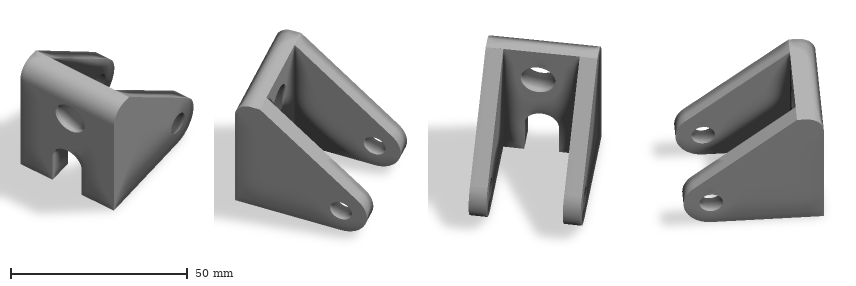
import cadquery as cq
import math

width = 32.0
height = 40.2
arm_thickness = 5.05
plate_thickness = 7.65
front_edge_radius = 5.03

arm_drop = 0.32
arm_radius = 7.9
pivot_diameter = 6.67
left_pivot_y = 31.95
right_pivot_y = 32.25

plate_hole_diameter = 9.97
plate_hole_x = 17.0
plate_hole_z = 28.87
slot_width = 9.95
slot_top = 15.2
slot_x = width / 2


def plate_section(x, bottom, top):
    """Plate cross-section at x, with a rounded upper front edge."""
    r = front_edge_radius
    diagonal = r * math.sqrt(0.5)
    return (
        cq.Workplane("YZ", origin=(x, 0, 0))
        .moveTo(0, bottom)
        .lineTo(plate_thickness, bottom)
        .lineTo(plate_thickness, top)
        .lineTo(r, top)
        .threePointArc((r - diagonal, top - r + diagonal), (0, top - r))
        .close()
        .wire()
        .val()
    )


def arm(x, bottom, top, pivot_y):
    """Side arm behind the plate, with a rounded end concentric with its pivot hole."""
    pivot_z = bottom + arm_radius
    rise = top - pivot_z
    run = pivot_y - plate_thickness
    tangent_angle = math.atan2(rise, -run) - math.acos(arm_radius / math.hypot(run, rise))
    middle_angle = (tangent_angle - math.pi / 2) / 2

    def on_end(angle):
        return (pivot_y + arm_radius * math.cos(angle), pivot_z + arm_radius * math.sin(angle))

    side = cq.Workplane("YZ", origin=(x, 0, 0))
    body = (
        side.moveTo(plate_thickness, bottom)
        .lineTo(pivot_y, bottom)
        .threePointArc(on_end(middle_angle), on_end(tangent_angle))
        .lineTo(plate_thickness, top)
        .close()
        .extrude(arm_thickness)
    )
    pivot_hole = side.center(pivot_y, pivot_z).circle(pivot_diameter / 2).extrude(arm_thickness)
    return body.cut(pivot_hole)


def plate():
    """Front plate: level over the left arm, then sloping down to the right side."""
    left_end = plate_section(0, arm_drop, height)
    slope_start = plate_section(arm_thickness, arm_drop, height)
    level_part = cq.Solid.makeLoft([left_end, slope_start], True)

    slope_start = plate_section(arm_thickness, 0, height)
    right_end = plate_section(width, 0, height - arm_drop)
    sloping_part = cq.Solid.makeLoft([slope_start, right_end], True)

    foot_trim = cq.Workplane("XY").box(slot_x, plate_thickness, arm_drop, centered=False)
    return cq.Workplane(level_part).union(cq.Workplane(sloping_part)).cut(foot_trim)


def plate_openings():
    """Round hole and open-bottomed slot through the plate."""
    slot_radius = slot_width / 2
    slot_center_z = slot_top - slot_radius
    front = cq.Workplane("XZ")
    hole = (
        front.center(plate_hole_x, plate_hole_z)
        .circle(plate_hole_diameter / 2)
        .extrude(-plate_thickness)
    )
    slot = (
        front.moveTo(slot_x - slot_radius, 0)
        .lineTo(slot_x - slot_radius, slot_center_z)
        .threePointArc((slot_x, slot_top), (slot_x + slot_radius, slot_center_z))
        .lineTo(slot_x + slot_radius, 0)
        .close()
        .extrude(-plate_thickness)
    )
    return hole.union(slot)


left_arm = arm(0, arm_drop, height, left_pivot_y)
right_arm = arm(width - arm_thickness, 0, height - arm_drop, right_pivot_y)

result = plate().cut(plate_openings()).union(left_arm).union(right_arm)